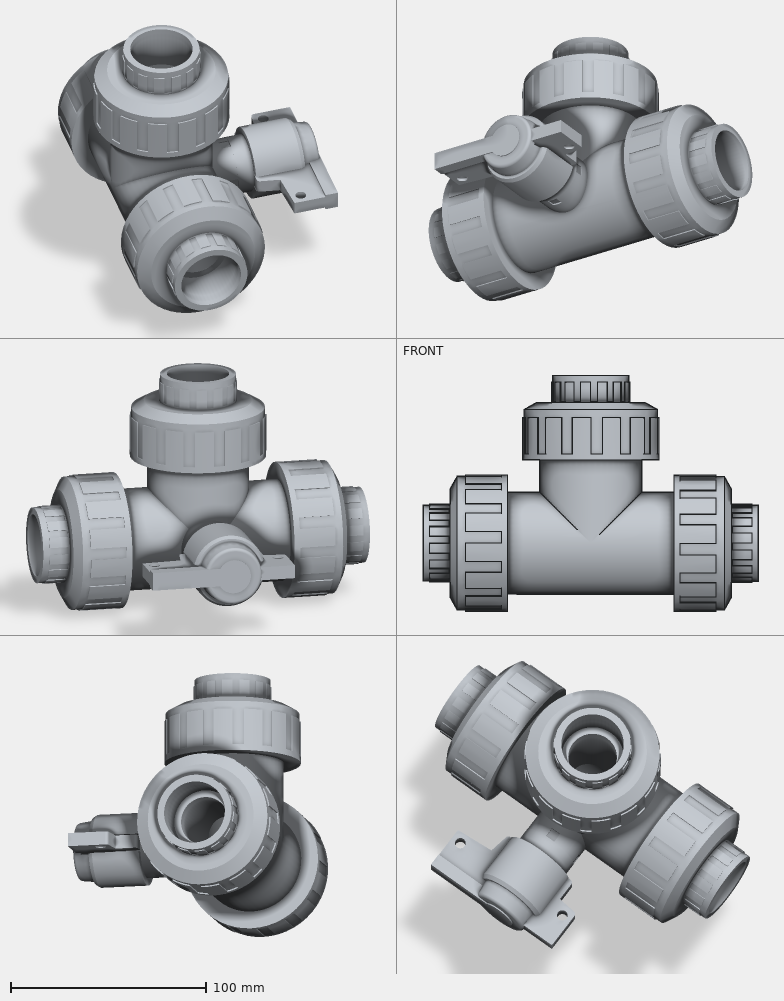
import cadquery as cq

arm_length = 86.0
pipe_diameter = 52.5
bore_diameter = 25.0
socket_diameter = 32.0
socket_depth = 23.2

nut_diameter = 70.0
nut_groove_floor_diameter = 68.6
nut_face_diameter = 55.7
nut_back = 42.7
nut_groove_start = 45.8
nut_groove_end = 64.3
nut_chamfer_start = 68.5
nut_face = 72.0
nut_groove_width = 5.8

tail_diameter = 40.0
tail_groove_floor_diameter = 39.0
tail_plain_length = 3.5
tail_rib_end = arm_length - tail_plain_length
tail_groove_start = 72.8
tail_groove_width = 3.6

groove_count = 14
groove_pitch = 360.0 / groove_count
first_groove_angle = -90.0 + groove_pitch / 5

stem_diameter = 30.0
neck_diameter = 29.8
neck_end = 36.6
stem_end = 59.5
notch_count = 4
notch_width = 5.2
notch_depth = 0.9
notch_length = 5.2

hub_diameter = 37.5
hub_start = 45.2
hub_end = 71.9
hub_edge_length = 2.0
hub_edge_width = 1.2
cap_base_diameter = 31.8
cap_top_diameter = 29.4
cap_end = 80.8
cap_edge_radius = 1.7
button_diameter = 17.5
handle_end = 81.5
slot_width = 9.0
slot_end = 76.5

plate_thickness = 6.9
plate_left = -32.5
plate_right = 42.8
plate_end = 79.1
plate_wing_outer = 58.1
plate_wing_inner = 56.8
plate_foot_left = -21.2
plate_foot_right = 20.5
plate_foot_right_top = 22.5
plate_corner_radius = 1.7
plate_hole_diameter = 5.5
plate_hole_inset = 5.2
plate_hole_y = 63.1
rim_start = 74.8
rim_thickness = 9.3


def cylinder(diameter, start, end):
    """Cylinder on the Z axis between two heights."""
    return cq.Workplane("XY").workplane(offset=start).circle(diameter / 2).extrude(end - start)


def grooves(outer_diameter, floor_diameter, width, start, end):
    """Ring of lengthwise grooves on the Z axis, with a round floor."""
    bars = (
        cq.Workplane("XY")
        .workplane(offset=start)
        .polarArray(outer_diameter / 2, first_groove_angle, 360, groove_count)
        .rect(outer_diameter / 4, width)
        .extrude(end - start)
    )
    return bars.cut(cylinder(floor_diameter, start, end))


def union_end():
    """Nut and tail piece of one arm, pointing along +Z."""
    nut_radius = nut_diameter / 2
    floor_radius = nut_groove_floor_diameter / 2
    nut = (
        cq.Workplane("XZ")
        .moveTo(0, nut_back)
        .lineTo(nut_radius, nut_back)
        .lineTo(nut_radius, nut_groove_end)
        .lineTo(floor_radius, nut_groove_end)
        .lineTo(floor_radius, nut_chamfer_start)
        .lineTo(nut_face_diameter / 2, nut_face)
        .lineTo(0, nut_face)
        .close()
        .revolve(360, (0, 0, 0), (0, 1, 0))
    )
    nut_grooves = grooves(
        nut_diameter, nut_groove_floor_diameter, nut_groove_width, nut_groove_start, nut_groove_end
    )
    tail = cylinder(tail_groove_floor_diameter, nut_back, arm_length)
    tail = tail.union(cylinder(tail_diameter, nut_back, tail_rib_end))
    tail_grooves = grooves(
        tail_diameter, tail_groove_floor_diameter, tail_groove_width, tail_groove_start, tail_rib_end
    )
    return nut.cut(nut_grooves).union(tail.cut(tail_grooves))


def arm():
    """Outside of one arm, pointing along +Z."""
    return cylinder(pipe_diameter, 0, nut_back).union(union_end())


def arm_bore():
    """Bore and pipe socket of one arm, pointing along +Z."""
    bore = cylinder(bore_diameter, 0, arm_length)
    return bore.union(cylinder(socket_diameter, arm_length - socket_depth, arm_length))


def on_all_arms(shape):
    """The shape on the branch and on both ends of the run."""
    left = shape.rotate((0, 0, 0), (0, 1, 0), -90)
    right = shape.rotate((0, 0, 0), (0, 1, 0), 90)
    return left.union(right).union(shape)


def along_y(shape):
    """Turn a shape built along +Z so that it points along +Y."""
    return shape.rotate((0, 0, 0), (1, 0, 0), -90)


def stem():
    """Stem and neck, with notches where the neck meets the stem."""
    neck = cylinder(neck_diameter, 0, neck_end)
    notches = (
        cq.Workplane("XY")
        .workplane(offset=neck_end - notch_length)
        .polarArray(neck_diameter / 2, 0, 360, notch_count)
        .rect(2 * notch_depth, notch_width)
        .extrude(notch_length)
    )
    return along_y(neck.cut(notches).union(cylinder(stem_diameter, neck_end, stem_end)))


def cap():
    """Tapered cap with a rounded end edge and a round button on top."""
    taper = (
        cq.Workplane("XY")
        .workplane(offset=hub_end)
        .circle(cap_base_diameter / 2)
        .workplane(offset=cap_end - hub_end)
        .circle(cap_top_diameter / 2)
        .loft()
        .faces(">Z")
        .edges()
        .fillet(cap_edge_radius)
    )
    return along_y(taper.union(cylinder(button_diameter, hub_end, handle_end)))


def hub():
    """Hub with a sloped end edge, slotted from side to side and joined by the stem and the cap."""
    body = (
        cylinder(hub_diameter, hub_start, hub_end)
        .faces(">Z")
        .chamfer(hub_edge_length, hub_edge_width)
    )
    slot = (
        cq.Workplane("XY")
        .box(hub_diameter, slot_end - hub_start, slot_width)
        .translate((0, (hub_start + slot_end) / 2, 0))
    )
    return along_y(body).union(cap()).cut(slot).union(stem())


def plate():
    """Handle plate with two holes and a thicker rim behind the cap."""
    outline = (
        cq.Workplane("XY")
        .moveTo(plate_left, plate_end)
        .lineTo(plate_left, plate_wing_outer)
        .lineTo(plate_foot_left, plate_wing_inner)
        .lineTo(plate_foot_left, hub_start)
        .lineTo(plate_foot_right, hub_start)
        .lineTo(plate_foot_right_top, plate_wing_inner)
        .lineTo(plate_right, plate_wing_outer)
        .lineTo(plate_right, plate_end)
        .close()
        .extrude(plate_thickness / 2, both=True)
    )
    corners = [(plate_left, plate_wing_outer), (plate_foot_left, hub_start), (plate_foot_right, hub_start)]
    for x, y in corners:
        outline = outline.edges(cq.NearestToPointSelector((x, y, 0))).fillet(plate_corner_radius)
    hole_places = [(x, plate_hole_y) for x in (plate_left + plate_hole_inset, plate_right - plate_hole_inset)]
    holes = (
        cq.Workplane("XY")
        .pushPoints(hole_places)
        .circle(plate_hole_diameter / 2)
        .extrude(plate_thickness, both=True)
    )
    rim = (
        cq.Workplane("XY")
        .box(plate_right, handle_end - rim_start, rim_thickness)
        .translate((plate_right / 2, (rim_start + handle_end) / 2, 0))
    )
    return outline.cut(holes).union(rim)


outside = on_all_arms(arm()).union(hub()).union(plate())
result = outside.cut(on_all_arms(arm_bore()))